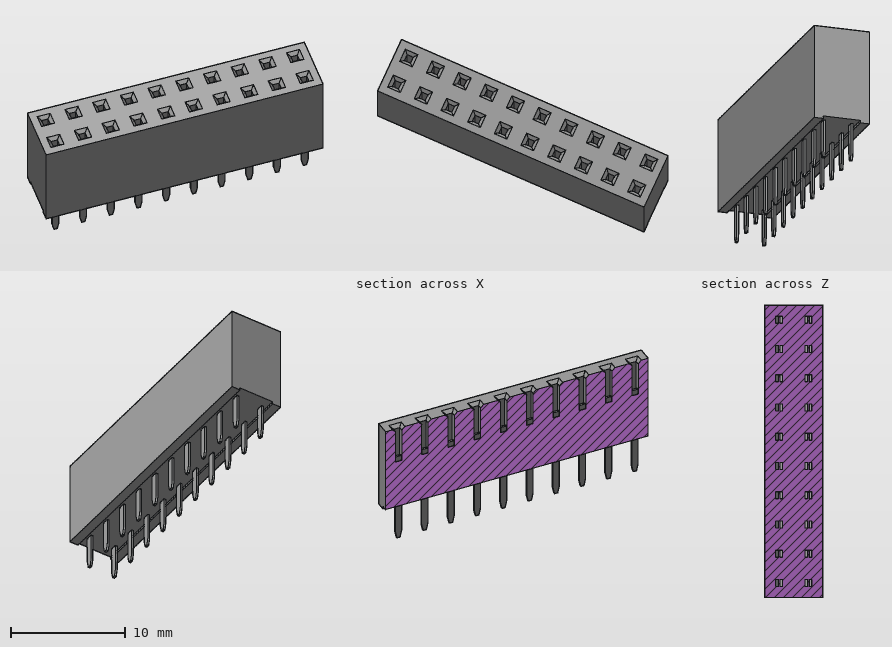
import cadquery as cq

pitch = 2.55
rows = 2
positions = 10
body_width = rows * pitch
body_length = positions * pitch
body_height = 8.5

relief_width = 3.4
relief_depth = 0.23

funnel_width = 1.2
well_width = 0.58
funnel_depth = 0.3
socket_depth = 3.5

pin_thickness = 0.19
pin_width = 0.6
pin_tip_width = 0.3
pin_length = 3.1
tip_length = 0.69
blade_width = 0.55
blade_height = 0.5


def contact_sites(height):
    """Workplane at the given height with one point on each contact."""
    return cq.Workplane("XY").workplane(offset=height).rarray(pitch, pitch, rows, positions)


def make_housing():
    block = cq.Workplane("XY").box(body_width, body_length, body_height, centered=(True, True, False))
    relief = cq.Workplane("XY").box(relief_width, body_length, relief_depth, centered=(True, True, False))
    return block.cut(relief)


def make_socket():
    """Socket cavity with its mouth at Z = 0."""
    funnel = (
        cq.Workplane("XY")
        .rect(funnel_width, funnel_width)
        .workplane(offset=-funnel_depth)
        .rect(well_width, well_width)
        .loft(ruled=True)
    )
    well = cq.Workplane("XY").rect(well_width, well_width).extrude(-socket_depth)
    return funnel.union(well)


def make_pin():
    """Flat pin with a tapered tip and a narrower blade, its thickness along X."""
    half_width = pin_width / 2
    half_tip = pin_tip_width / 2
    half_blade = blade_width / 2
    taper_start = tip_length - pin_length
    well_floor = body_height - socket_depth
    blade_top = well_floor + blade_height
    outline = [
        (-half_tip, -pin_length),
        (half_tip, -pin_length),
        (half_width, taper_start),
        (half_width, well_floor),
        (half_blade, well_floor),
        (half_blade, blade_top),
        (-half_blade, blade_top),
        (-half_blade, well_floor),
        (-half_width, well_floor),
        (-half_width, taper_start),
    ]
    return cq.Workplane("YZ").polyline(outline).close().extrude(pin_thickness / 2, both=True)


socket = make_socket().val()
pin = make_pin().val()

sockets = contact_sites(body_height).eachpoint(lambda site: socket.located(site))
pins = contact_sites(0).eachpoint(lambda site: pin.located(site))

result = make_housing().cut(sockets).union(pins)